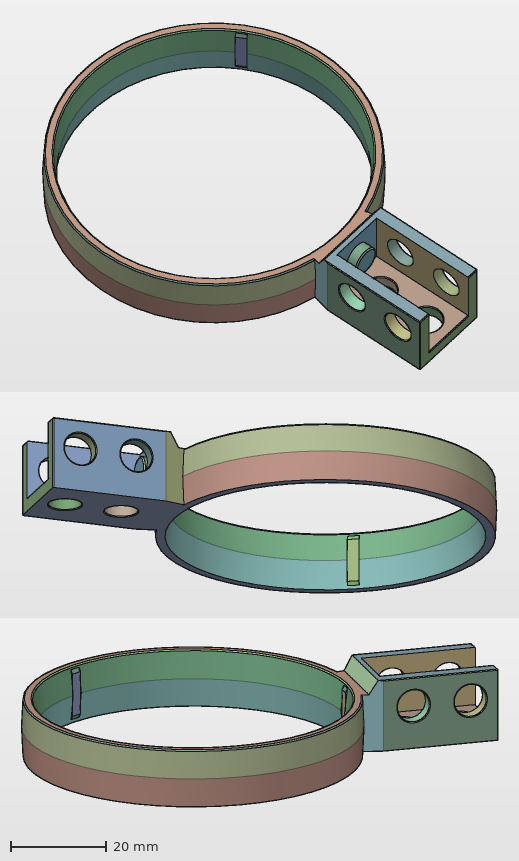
import cadquery as cq

ring_height = 12.5
ring_mid_z = ring_height / 2
ring_outer_radius = 35.9
ring_end_radius = 35.6
ring_inner_radius = 32.9
ring_inner_end_radius = 33.6
ring_core_radius = (ring_inner_end_radius + ring_end_radius) / 2
rim_chamfer = 0.3

pad_count = 3
pad_width = 2.5
pad_face_radius = 33.1
pad_end_gap = 0.4
pad_ramp_height = 1.2
pad_ramp_depth = 0.6

total_length = 100
fork_end_x = total_length - ring_outer_radius
fork_height = 15.6
fork_width = 18.8
neck_start_x = 34
neck_end_x = 38.9
neck_start_width = 16.6
slope_bottom_x = 35.9
slope_top_x = 37.8
edge_chamfer = 0.2

slot_start_x = 39
slot_width = 12.9
floor_thickness = 3

hole_count = 2
hole_diameter = 7
hole_chamfer = 0.2
hole_spacing = 12.5
first_hole_x = 45.5
cross_hole_z = 9.3

boss_diameter = 6.5
boss_length = 2.6
boss_chamfer = 0.3


def make_ring():
    profile = [
        (ring_inner_end_radius, 0),
        (ring_end_radius, 0),
        (ring_outer_radius, ring_mid_z),
        (ring_end_radius, ring_height - rim_chamfer),
        (ring_end_radius - rim_chamfer, ring_height),
        (ring_inner_end_radius + rim_chamfer, ring_height),
        (ring_inner_end_radius, ring_height - rim_chamfer),
        (ring_inner_radius, ring_mid_z),
    ]
    return cq.Workplane("XZ").polyline(profile).close().revolve(360, (0, 0), (0, 1))


def make_pad(angle):
    top_z = ring_height - pad_end_gap
    bottom_z = pad_end_gap
    profile = [
        (ring_core_radius, bottom_z),
        (pad_face_radius + pad_ramp_depth, bottom_z),
        (pad_face_radius, bottom_z + pad_ramp_height),
        (pad_face_radius, top_z - pad_ramp_height),
        (pad_face_radius + pad_ramp_depth, top_z),
        (ring_core_radius, top_z),
    ]
    pad = cq.Workplane("XZ").polyline(profile).close().extrude(pad_width / 2, both=True)
    return pad.rotate((0, 0, 0), (0, 0, 1), angle)


def make_pad_relief(angle):
    relief = cq.Workplane("XY").box(pad_face_radius, pad_width, ring_height, centered=(False, True, False))
    return relief.rotate((0, 0, 0), (0, 0, 1), angle)


def make_fork():
    plan = [
        (neck_start_x, -neck_start_width / 2),
        (neck_end_x, -fork_width / 2),
        (fork_end_x, -fork_width / 2),
        (fork_end_x, fork_width / 2),
        (neck_end_x, fork_width / 2),
        (neck_start_x, neck_start_width / 2),
    ]
    fork = cq.Workplane("XY").polyline(plan).close().extrude(fork_height)
    fork = fork.edges("(>X and (|Z or >Z)) or (|X and >Z)").chamfer(edge_chamfer)
    slope = [
        (0, ring_height),
        (slope_bottom_x, ring_height),
        (slope_top_x, fork_height),
        (0, fork_height),
    ]
    fork = fork.cut(cq.Workplane("XZ").polyline(slope).close().extrude(fork_width, both=True))
    fork = fork.cut(cq.Workplane("XY").circle(ring_core_radius).extrude(fork_height))
    slot_length = fork_end_x - slot_start_x
    slot = cq.Workplane("XY").box(slot_length, slot_width, fork_height, centered=(False, True, False))
    fork = fork.cut(slot.translate((slot_start_x, 0, floor_thickness)))
    free_edge = cq.selectors.NearestToPointSelector((fork_end_x, 0, floor_thickness))
    return fork.edges("|Y").edges(free_edge).chamfer(edge_chamfer)


def make_boss():
    boss = cq.Workplane("YZ").circle(boss_diameter / 2).extrude(boss_length)
    return boss.faces(">X").chamfer(boss_chamfer).translate((slot_start_x, 0, cross_hole_z))


def make_hole(length):
    hole = cq.Workplane("XY").circle(hole_diameter / 2).extrude(length)
    rim = cq.Workplane("XY").circle(hole_diameter / 2 + hole_chamfer)
    rim = rim.workplane(offset=hole_chamfer).circle(hole_diameter / 2).loft()
    far_rim = rim.mirror("XY").translate((0, 0, length))
    return hole.union(rim).union(far_rim)


result = make_ring().union(make_fork())
for index in range(pad_count):
    angle = index * 360 / pad_count
    result = result.cut(make_pad_relief(angle)).union(make_pad(angle))
result = result.union(make_boss())

for index in range(hole_count):
    hole_x = first_hole_x + index * hole_spacing
    floor_hole = make_hole(floor_thickness).translate((hole_x, 0, 0))
    arm_hole = make_hole(fork_width).translate((0, 0, -fork_width / 2)).rotate((0, 0, 0), (1, 0, 0), 90)
    result = result.cut(floor_hole).cut(arm_hole.translate((hole_x, 0, cross_hole_z)))